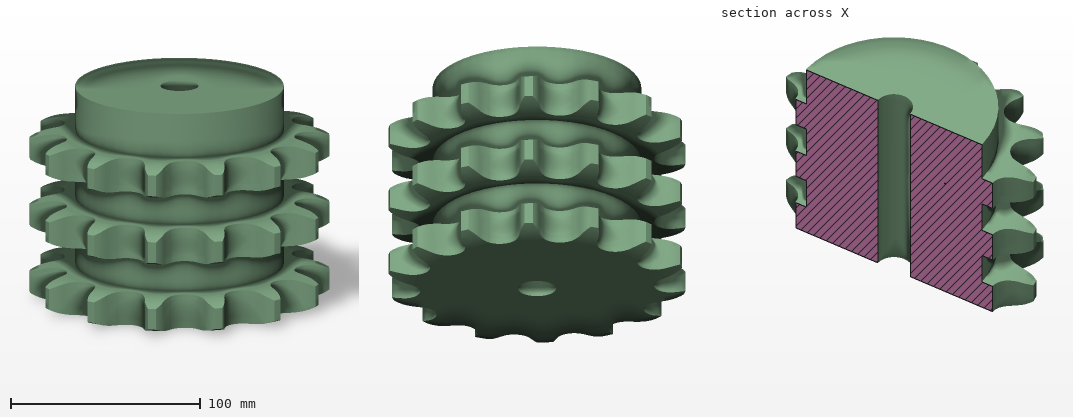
import cadquery as cq
import math


tooth_count = 14
chain_pitch = 31.7
roller_diameter = 19.1
outer_diameter = 157.8
row_count = 3
row_spacing = 36.5
tooth_width = 18.1
crown_depth = 14.4
hub_diameter = 110.0
bore_diameter = 20.0
total_height = 115.0

outer_radius = outer_diameter / 2
half_step = math.pi / tooth_count
pitch_radius = chain_pitch / 2 / math.sin(half_step)
crown_radius = chain_pitch
crown_start_radius = outer_radius - crown_depth
crown_drop = crown_radius - math.sqrt(crown_radius**2 - crown_depth**2)

seat_radius = 0.5025 * roller_diameter
working_offset = 0.8 * roller_diameter
working_radius = seat_radius + working_offset
tip_offset = 1.4 * roller_diameter
seat_angle = math.radians(35 + 60 / tooth_count)
working_angle = math.radians(18 - 56 / tooth_count)
flank_angle = seat_angle - working_angle
tip_angle = math.radians(17 - 64 / tooth_count)
flank_length = tip_offset * math.sin(tip_angle) - working_offset * math.sin(working_angle)
tip_radius = (
    working_offset * math.cos(working_angle)
    + tip_offset * math.cos(tip_angle)
    - working_radius
)


def polar(centre, radius, angle):
    """Point at a distance and angle from a centre."""
    return (centre[0] + radius * math.cos(angle), centre[1] + radius * math.sin(angle))


def tooth_gap_points():
    """Right half of a tooth gap centred on +Y, from the root to the tip of the tooth."""
    roller_centre = (0, pitch_radius)
    working_centre = polar(roller_centre, working_offset, math.pi - seat_angle)
    tip_centre = polar(roller_centre, tip_offset, -half_step)

    root = polar(roller_centre, seat_radius, -math.pi / 2)
    seat_end = polar(roller_centre, seat_radius, -seat_angle)
    working_middle = polar(working_centre, working_radius, -seat_angle + working_angle / 2)
    working_end = polar(working_centre, working_radius, -flank_angle)
    flank_end = polar(working_end, flank_length, math.pi / 2 - flank_angle)

    centre_line_distance = tip_offset - chain_pitch / 2
    tip_end_angle = math.pi - half_step - math.acos(centre_line_distance / tip_radius)
    tip_start_angle = math.pi - flank_angle
    tip_middle = polar(tip_centre, tip_radius, (tip_start_angle + tip_end_angle) / 2)
    tip_end = polar(tip_centre, tip_radius, tip_end_angle)
    return root, seat_end, working_middle, working_end, flank_end, tip_middle, tip_end


def make_tooth_outline():
    """Closed outline of all the teeth, running clockwise and starting at a tooth tip."""
    root, seat_end, working_middle, working_end, flank_end, tip_middle, tip_end = tooth_gap_points()

    def place(point, side, turn):
        """Put a gap point on one side (+1 or -1) of the gap turned clockwise by an angle."""
        x, y = side * point[0], point[1]
        return (
            x * math.cos(turn) + y * math.sin(turn),
            y * math.cos(turn) - x * math.sin(turn),
        )

    first_turn = math.pi / 2 + half_step
    outline = cq.Workplane("XY").moveTo(*place(tip_end, -1, first_turn))
    for gap in range(tooth_count):
        turn = first_turn + gap * 2 * half_step
        outline = (
            outline
            .threePointArc(place(tip_middle, -1, turn), place(flank_end, -1, turn))
            .lineTo(*place(working_end, -1, turn))
            .threePointArc(place(working_middle, -1, turn), place(seat_end, -1, turn))
            .threePointArc(place(root, 1, turn), place(seat_end, 1, turn))
            .threePointArc(place(working_middle, 1, turn), place(working_end, 1, turn))
            .lineTo(*place(flank_end, 1, turn))
            .threePointArc(place(tip_middle, 1, turn), place(tip_end, 1, turn))
        )
    return outline.close()


def make_crowned_blank():
    """Turned disc whose rim is rounded on both sides and flat at the outer diameter."""
    middle_depth = crown_depth / 2
    middle_drop = crown_radius - math.sqrt(crown_radius**2 - middle_depth**2)
    middle_radius = crown_start_radius + middle_depth
    return (
        cq.Workplane("XZ")
        .lineTo(crown_start_radius, 0)
        .threePointArc((middle_radius, middle_drop), (outer_radius, crown_drop))
        .lineTo(outer_radius, tooth_width - crown_drop)
        .threePointArc((middle_radius, tooth_width - middle_drop), (crown_start_radius, tooth_width))
        .lineTo(0, tooth_width)
        .close()
        .revolve(360, (0, 0, 0), (0, 1, 0))
    )


tooth_row = make_tooth_outline().extrude(tooth_width).intersect(make_crowned_blank())

result = cq.Workplane("XY").circle(hub_diameter / 2).extrude(total_height)
for row in range(row_count):
    result = result.union(tooth_row.translate((0, 0, row * row_spacing)))

bore = cq.Workplane("XY").circle(bore_diameter / 2).extrude(total_height)
result = result.cut(bore)